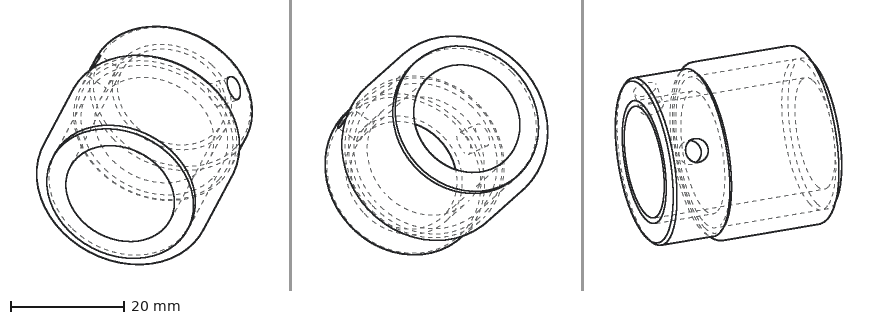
import cadquery as cq

bore_diameter = 20.0
housing_diameter = 32.0
housing_length = 20.0
housing_edge_radius = 1.0
sleeve_diameter = 27.0
nose_length = 1.2
neck_diameter = 22.0
collar_diameter = 30.0
collar_length = 11.0
collar_chamfer = 0.5

hole_diameter = 4.22
hole_from_back = 5.02
hole_angles = (30, 150)

housing_back = nose_length + housing_length
collar_back = housing_back + collar_length
hole_station = collar_back - hole_from_back


def cylinder(diameter, start, end):
    """Cylinder on the Y axis between two stations."""
    return (
        cq.Workplane("XZ", origin=(0, start, 0))
        .circle(diameter / 2)
        .extrude(start - end)
    )


def make_housing():
    """Outer ring with rounded outer edges, bored to fit the sleeve."""
    ring = cylinder(housing_diameter, nose_length, housing_back).edges().fillet(housing_edge_radius)
    return ring.cut(cylinder(sleeve_diameter, nose_length, housing_back))


def make_sleeve():
    """Inner sleeve: a thick part inside the housing and a thin neck inside the collar."""
    thick_part = cylinder(sleeve_diameter, 0, housing_back)
    neck = cylinder(neck_diameter, housing_back, collar_back)
    return thick_part.union(neck).cut(cylinder(bore_diameter, 0, collar_back))


def make_collar():
    """Locking collar around the neck, with radial holes down to the neck."""
    ring = cylinder(collar_diameter, housing_back, collar_back).edges().chamfer(collar_chamfer)
    collar = ring.cut(cylinder(neck_diameter, housing_back, collar_back))
    hole = (
        cq.Workplane("YZ")
        .center(hole_station, 0)
        .circle(hole_diameter / 2)
        .extrude(collar_diameter / 2)
    )
    for angle in hole_angles:
        collar = collar.cut(hole.rotate((0, 0, 0), (0, 1, 0), -angle))
    return collar


housing = make_housing()
sleeve = make_sleeve()
collar = make_collar()

result = cq.Compound.makeCompound([housing.solids().val(), sleeve.solids().val(), collar.solids().val()])